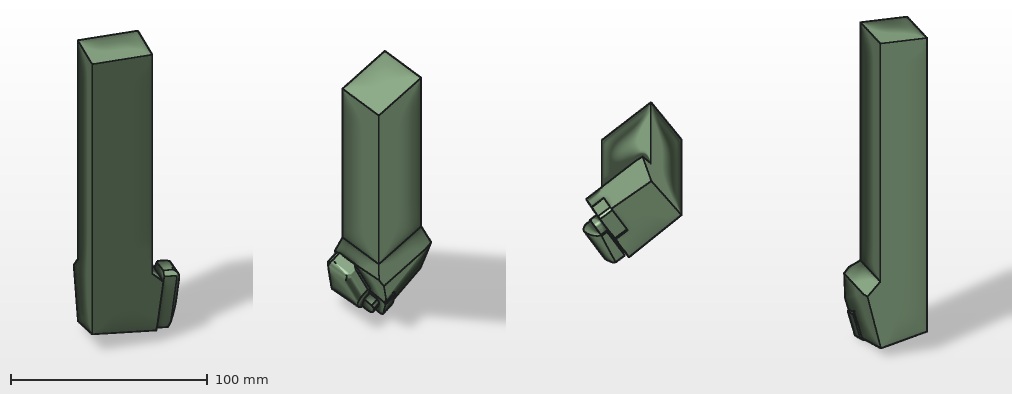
import cadquery as cq
import math

length = 171.4
shank_width = 25.0
shank_depth = 32.0
head_overhang = 7.4
shoulder_top = 41.6
head_depth = 51.4
shoulder_slope = 1.06
back_shoulder_slope = 1.0

edge_angle = 14.0
relief_slope = 0.11
left_relief_x = 0.3
bottom_relief_z = 5.1
rake_tilt = 7.4
rake_turn = 2.2
rake_origin_y = 32.2
lead_slope = math.tan(math.radians(edge_angle))

insert_side = 16.3
insert_thickness = 7.9
insert_corner_cut = 1.4
insert_tip_x = -2.5
insert_tip_z = -0.3

breaker_setback = 3.6
breaker_side = 9.6
breaker_height = 4.5
breaker_corner_radius = 3.8
breaker_top_chamfer = 1.7

clamp_gap = 1.0
clamp_height = 10.5
clamp_right = 23.1
clamp_top = 40.5
clamp_end_drop = 1.0
clamp_top_left = 8.4
clamp_left = 1.5
clamp_knee = 26.0
clamp_bottom = 4.1
clamp_corner_radius = 2.7
clamp_left_fillet = 3.6
clamp_right_chamfer = 2.4
clamp_undercut = 2.2
crown_top_radius = 5.5
nose_height = 4.5
crown_start = 21.5
crown_mid = (13.7, 9.0)
stud_diameter = 8.5
stud_center = (14.5, 24.0)
stud_depth = 5.1


def place_on_rake(body):
    """Move a body from rake coordinates onto the tilted rake face."""
    tilted = body.rotate((0, 0, 0), (1, 0, 0), -rake_tilt)
    turned = tilted.rotate((0, 0, 0), (0, 0, 1), rake_turn)
    return turned.translate((0, rake_origin_y, 0))


def slab(points, y_start, y_end):
    """Prism of an XZ outline between two Y positions."""
    return cq.Workplane("XZ", origin=(0, y_end, 0)).polyline(points).close().extrude(y_end - y_start)


def relieved_outline(depth):
    """Head section at a depth behind the front face, wide enough to bound the blank."""
    growth = relief_slope * depth
    corner_x = (left_relief_x - growth + lead_slope * growth) / (1 + lead_slope ** 2)
    corner_z = bottom_relief_z - growth + lead_slope * corner_x
    reach = 2 * (shank_width + head_overhang)
    return [
        (corner_x, corner_z),
        (corner_x + reach, corner_z + reach * lead_slope),
        (corner_x + reach - length * lead_slope, corner_z + reach * lead_slope + length),
        (corner_x - length * lead_slope, corner_z + length),
    ]


def make_head():
    shoulder_z = shoulder_top - shoulder_slope * head_overhang
    blank = slab(
        [
            (shank_width, -head_overhang),
            (shank_width, shoulder_top),
            (0, shoulder_top),
            (-head_overhang, shoulder_z),
            (-head_overhang, -head_overhang),
        ],
        0,
        head_depth,
    )
    front = cq.Wire.makePolygon([cq.Vector(x, 0, z) for x, z in relieved_outline(0)], close=True)
    back = cq.Wire.makePolygon(
        [cq.Vector(x, head_depth, z) for x, z in relieved_outline(head_depth)], close=True
    )
    relieved = cq.Workplane(cq.Solid.makeLoft([front, back], True))
    back_rise = head_depth - shank_depth
    shoulder_waste = (
        cq.Workplane("YZ", origin=(-length / 2, 0, 0))
        .polyline([
            (shank_depth, shoulder_top),
            (head_depth, shoulder_top - back_shoulder_slope * back_rise),
            (head_depth, shoulder_top),
        ])
        .close()
        .extrude(length)
    )
    rake_waste = place_on_rake(cq.Workplane("XY").box(length, length, length).translate((0, length / 2, 0)))
    return blank.intersect(relieved).cut(shoulder_waste).cut(rake_waste)


def make_shank():
    height = length - shoulder_top
    return cq.Workplane("XY").box(shank_width, shank_depth, height, centered=False).translate(
        (0, 0, shoulder_top)
    )


def along_edges(body):
    """Turn a body about the insert tip so that its sides follow the cutting edges."""
    moved = body.translate((insert_tip_x, 0, insert_tip_z))
    pivot = (insert_tip_x, 0, insert_tip_z)
    return moved.rotate(pivot, (insert_tip_x, 1, insert_tip_z), -edge_angle)


def make_insert():
    block = cq.Workplane("XY").box(insert_side, insert_thickness, insert_side, centered=False)
    block = block.edges("|Y").chamfer(insert_corner_cut).translate((0, -insert_thickness, 0))
    return place_on_rake(along_edges(block))


def make_breaker():
    plate = cq.Workplane("XY").box(breaker_side, breaker_height, breaker_side, centered=False)
    plate = plate.edges("|Y and <X and <Z").fillet(breaker_corner_radius)
    plate = plate.edges("|Y and <X and >Z").chamfer(breaker_top_chamfer)
    return along_edges(plate.translate((breaker_setback, 0, breaker_setback)))


def make_clamp():
    lower_left = clamp_left + (clamp_knee - clamp_bottom) * lead_slope
    left_top = clamp_top - clamp_end_drop
    plan = slab(
        [
            (clamp_right, clamp_top),
            (clamp_top_left, left_top),
            (clamp_left, clamp_knee),
            (lower_left, clamp_bottom),
            (clamp_right, clamp_bottom + (clamp_right - lower_left) * lead_slope),
        ],
        clamp_gap,
        clamp_height,
    )
    top_left_corner = cq.selectors.NearestToPointSelector(
        (clamp_top_left, (clamp_gap + clamp_height) / 2, left_top)
    )
    right_edge = cq.selectors.NearestToPointSelector((clamp_right, clamp_height, clamp_knee))
    upper_left_edge = cq.selectors.NearestToPointSelector(
        ((clamp_top_left + clamp_left) / 2, clamp_height, (left_top + clamp_knee) / 2)
    )
    undercut_edge = cq.selectors.NearestToPointSelector(
        ((clamp_top_left + clamp_left) / 2, clamp_gap, (left_top + clamp_knee) / 2)
    )
    plan = plan.edges(undercut_edge).chamfer(clamp_undercut)
    plan = plan.edges(top_left_corner).fillet(clamp_corner_radius)
    plan = plan.edges(upper_left_edge).fillet(clamp_left_fillet)
    plan = plan.edges(right_edge).chamfer(clamp_right_chamfer)

    bend = crown_top_radius * math.sqrt(0.5)
    crown = (
        cq.Workplane("YZ")
        .moveTo(0, clamp_top)
        .lineTo(clamp_height - crown_top_radius, clamp_top)
        .threePointArc(
            (clamp_height - crown_top_radius + bend, clamp_top - crown_top_radius + bend),
            (clamp_height, clamp_top - crown_top_radius),
        )
        .lineTo(clamp_height, crown_start)
        .threePointArc((crown_mid[1], crown_mid[0]), (nose_height, clamp_bottom))
        .lineTo(0, clamp_bottom)
        .close()
        .extrude(shank_width)
    )
    stud = (
        cq.Workplane("XZ", origin=(0, clamp_gap, 0))
        .center(*stud_center)
        .circle(stud_diameter / 2)
        .extrude(stud_depth)
    )
    return plan.intersect(crown).union(stud)


insert = make_insert()
clamping = place_on_rake(make_clamp().union(make_breaker()))
holder = make_shank().union(make_head()).union(clamping).cut(insert)

result = cq.Compound.makeCompound([holder.val(), insert.val()])